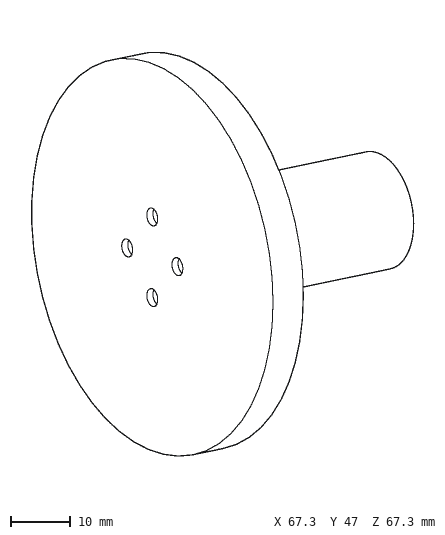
import cadquery as cq

disc_diameter = 67.3
total_length = 47.0
disc_thickness = 6.3
shaft_diameter = 20.0
hole_diameter = 3.0
hole_circle_radius = 7.0
hole_depth = 1.3
hole_count = 4

shaft_length = total_length - disc_thickness


def cylinder_along_y(diameter, start_y, length):
    """Solid cylinder centred on the Y axis, running from start_y toward +Y."""
    return (
        cq.Workplane("XZ", origin=(0, start_y, 0))
        .circle(diameter / 2)
        .extrude(-length)
    )


def bolt_holes():
    """Blind round holes, evenly spaced, entering the front face of the disc."""
    return (
        cq.Workplane("XZ")
        .polarArray(hole_circle_radius, 0, 360, hole_count)
        .circle(hole_diameter / 2)
        .extrude(-hole_depth)
    )


disc = cylinder_along_y(disc_diameter, 0, disc_thickness)
shaft = cylinder_along_y(shaft_diameter, disc_thickness, shaft_length)

result = disc.union(shaft).cut(bolt_holes())